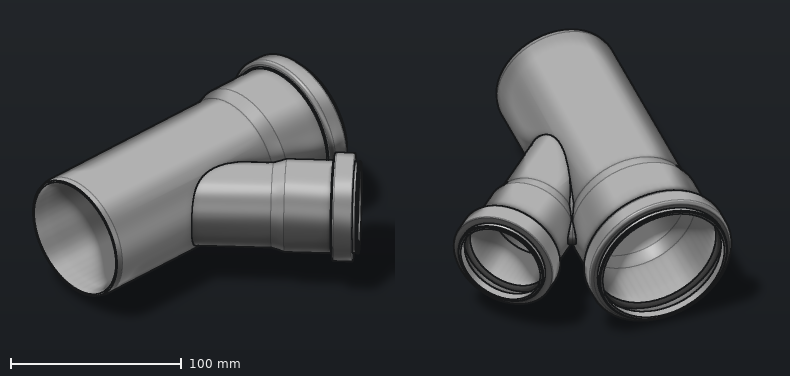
import cadquery as cq
import math

main_length = 180.0
main_pipe_d = 75.2
main_bore_d = 71.1
spigot_chamfer_length = 3.2
spigot_chamfer_depth = 0.9

branch_angle = 45.0
branch_pipe_d = 50.0
branch_bore_d = 46.3
branch_length = 125.8
crossing_y = 56.0

web_rise = 12.5
web_fade_power = 4
web_side_fraction = 0.8
web_half_thickness = 8.1
web_root_depth = 5.4
web_point_count = 17

lip_corner = 0.5
lip_groove_depth = 0.9
lip_groove_start = 0.7
lip_groove_middle = 1.6
ring_start = 3.5
ring_flare = 0.7
seal_wall = 2.0

MAIN_SOCKET = dict(
    ring_d=89.3, outer_d=80.3, bore_d=76.3, seal_d=85.1,
    front_round=2.2, back_round=2.2, ring_end=16.0, cone_start=47.3, cone_end=56.0,
)
BRANCH_SOCKET = dict(
    ring_d=63.9, outer_d=54.7, bore_d=51.1, seal_d=60.3,
    front_round=0.5, back_round=1.0, ring_end=15.5, cone_start=43.7, cone_end=51.5,
)


def round_offset(radius):
    """Distance from a square corner's sides to the midpoint of its rounding arc."""
    return radius * (1 - math.sqrt(0.5))


def outer_body(length, pipe_d, socket, chamfer_length=0.0, chamfer_depth=0.0):
    """Solid outside of a pipe along +Y whose socket mouth is at Y = length."""
    socket_r = socket["outer_d"] / 2
    ring_r = socket["ring_d"] / 2
    pipe_r = pipe_d / 2
    front = socket["front_round"]
    back = socket["back_round"]
    ring_front = length - ring_start
    ring_back = length - socket["ring_end"]
    profile = (
        cq.Workplane("XY")
        .moveTo(0, length)
        .lineTo(socket_r - lip_corner, length)
        .lineTo(socket_r, length - lip_corner)
        .lineTo(socket_r, length - lip_groove_start)
        .lineTo(socket_r - lip_groove_depth, length - lip_groove_middle)
        .lineTo(socket_r, ring_front)
        .lineTo(ring_r - front, ring_front)
        .threePointArc(
            (ring_r - round_offset(front), ring_front - round_offset(front)),
            (ring_r, ring_front - front),
        )
        .lineTo(ring_r, ring_back + back)
        .threePointArc(
            (ring_r - round_offset(back), ring_back + round_offset(back)),
            (ring_r - back, ring_back),
        )
        .lineTo(socket_r + ring_flare, ring_back)
        .lineTo(socket_r, ring_back - ring_flare)
        .lineTo(socket_r, length - socket["cone_start"])
        .lineTo(pipe_r, length - socket["cone_end"])
    )
    if chamfer_length > 0:
        profile = profile.lineTo(pipe_r, chamfer_length)
    profile = profile.lineTo(pipe_r - chamfer_depth, 0).lineTo(0, 0).close()
    return profile.revolve(360, (0, 0, 0), (0, 1, 0))


def inner_bore(length, bore_d, socket):
    """Void of a pipe along +Y, with the seal groove and the wider socket bore."""
    seal_r = socket["seal_d"] / 2
    mouth_r = socket["bore_d"] / 2
    seal_front = length - ring_start - seal_wall
    seal_back = length - socket["ring_end"] + seal_wall
    return (
        cq.Workplane("XY")
        .moveTo(0, length)
        .lineTo(mouth_r, length)
        .lineTo(mouth_r, seal_front)
        .lineTo(seal_r, seal_front)
        .lineTo(seal_r, seal_back)
        .lineTo(mouth_r, seal_back)
        .lineTo(mouth_r, length - socket["cone_start"])
        .lineTo(bore_d / 2, length - socket["cone_end"])
        .lineTo(bore_d / 2, 0)
        .lineTo(0, 0)
        .close()
        .revolve(360, (0, 0, 0), (0, 1, 0))
    )


def place_branch(shape):
    """Tilt a +Y pipe toward +X and move its start to the crossing point."""
    return shape.rotate((0, 0, 0), (0, 0, 1), -branch_angle).translate((0, crossing_y, 0))


def crotch_web():
    """Web across the crotch, its top following the pipes' meeting line plus a fading rise.

    The profile lies in the plane of Z and the crotch bisector, and is extruded
    both ways along the normal to that plane.
    """
    main_r = main_pipe_d / 2
    branch_r = branch_pipe_d / 2
    slope = math.radians(branch_angle)
    bisector = (math.sin(slope / 2), math.cos(slope / 2))
    across = (math.cos(slope / 2), -math.sin(slope / 2))

    def meeting_point(z):
        x = math.sqrt(main_r**2 - z**2)
        branch_half_width = math.sqrt(branch_r**2 - z**2)
        y = crossing_y + x / math.tan(slope) + branch_half_width / math.sin(slope)
        return x, y

    def along(direction, point):
        return direction[0] * point[0] + direction[1] * point[1]

    def web_top(z):
        rise = web_rise * (1 - (z / branch_r) ** 2) ** web_fade_power
        return along(bisector, meeting_point(z)) + rise

    web_side = web_side_fraction * branch_r
    step = 2 * web_side / (web_point_count - 1)
    side_positions = [-web_side + step * i for i in range(web_point_count)]
    top_points = [(z, web_top(z)) for z in side_positions]
    root = web_top(web_side) - web_root_depth
    center = along(across, meeting_point(0))
    plane = cq.Plane(
        origin=(center * across[0], center * across[1], 0),
        xDir=(0, 0, 1),
        normal=(-across[0], -across[1], 0),
    )
    return (
        cq.Workplane(plane)
        .moveTo(-web_side, root)
        .lineTo(*top_points[0])
        .spline(top_points[1:], includeCurrent=True)
        .lineTo(web_side, root)
        .close()
        .extrude(web_half_thickness, both=True)
    )


main_body = outer_body(
    main_length, main_pipe_d, MAIN_SOCKET, spigot_chamfer_length, spigot_chamfer_depth
)
branch_body = place_branch(outer_body(branch_length, branch_pipe_d, BRANCH_SOCKET))
main_void = inner_bore(main_length, main_bore_d, MAIN_SOCKET)
branch_void = place_branch(inner_bore(branch_length, branch_bore_d, BRANCH_SOCKET))

body = main_body.union(branch_body).union(crotch_web())
result = body.cut(main_void).cut(branch_void)